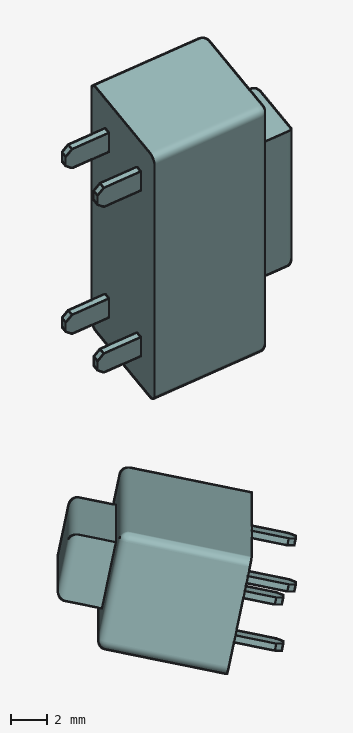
import cadquery as cq

housing_width = 6.73
housing_length = 19.81
housing_depth = 7.36
edge_radius = 0.5

head_width = 3.81
head_length = 10.92
head_height = 2.59
head_edge_radius = 0.51

pin_thickness = 0.41
pin_width = 1.55
pin_reach = 2.79
pin_tip_chamfer = 0.4
pin_pitch_x = head_width - pin_thickness
pin_pitch_z = 13.46


def make_housing():
    """Rounded block and its head, one solid."""
    block = (
        cq.Workplane("XY")
        .box(housing_width, housing_depth, housing_length, centered=(True, False, True))
        .edges("|Y")
        .fillet(edge_radius)
        .faces(">Y")
        .edges()
        .fillet(edge_radius)
    )
    head = (
        cq.Workplane("XY")
        .box(head_width, head_height, head_length, centered=(True, False, True))
        .faces(">Y")
        .edges()
        .fillet(head_edge_radius)
        .translate((0, housing_depth, 0))
    )
    return block.union(head)


def make_pin(x, z):
    """Flat pin that starts on the mounting face and ends in a chamfered tip."""
    return (
        cq.Workplane("XY")
        .box(pin_thickness, pin_reach, pin_width)
        .faces("<Y")
        .edges("|X")
        .chamfer(pin_tip_chamfer)
        .translate((x, -pin_reach / 2, z))
    )


housing = make_housing()
pins = [
    make_pin(side_x * pin_pitch_x / 2, side_z * pin_pitch_z / 2)
    for side_x in (-1, 1)
    for side_z in (-1, 1)
]

result = cq.Compound.makeCompound([housing.val(), *[pin.val() for pin in pins]])